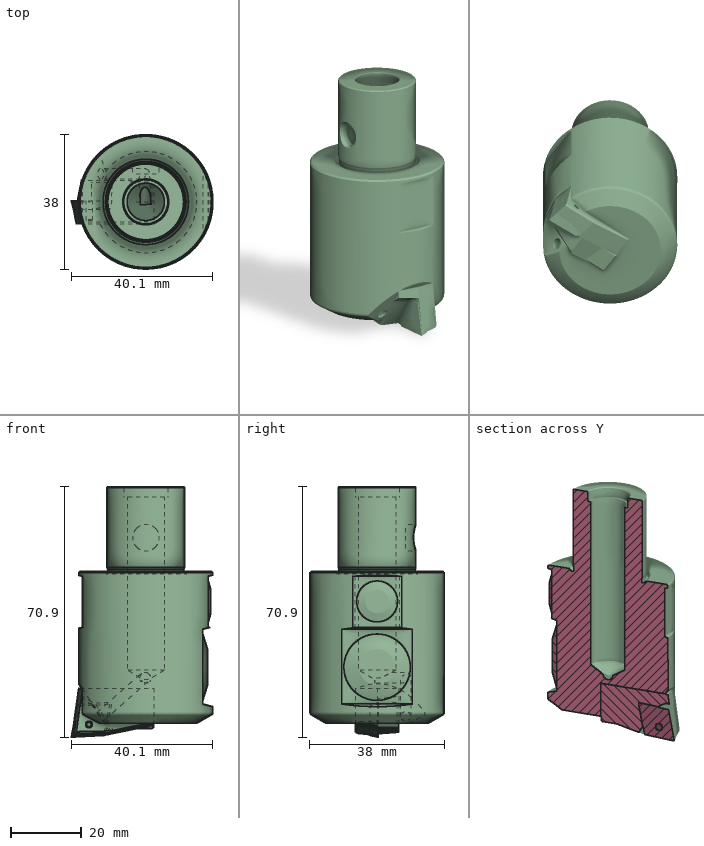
import cadquery as cq
import math


shank_radius = 11.0
shank_length = 24.0
shank_top_chamfer = 0.3
shank_wall_bottom = 1.1
neck_radius = 10.8
neck_top = 0.6
body_radius = 19.0
body_length = 43.0
shoulder_chamfer = 0.45
recess_top_radius = 12.1
recess_floor_radius = 11.4
recess_depth = recess_top_radius - recess_floor_radius
end_radius = 14.36
end_cone_angle = 30.0
end_cone_height = (body_radius - end_radius) * math.tan(math.radians(end_cone_angle))
end_edge_fillet = 1.0

counterbore_radius = 6.25
counterbore_depth = 2.9
bore_chamfer = 0.25
bore_radius = 5.3
drill_tip_angle = 118.0
bore_tip_height = bore_radius / math.tan(math.radians(drill_tip_angle / 2))
bore_tip_z = -31.0
spot_radius = 3.75
spot_z = 9.6
spot_depth = 3.0
coolant_radius = 1.5
coolant_start_y = -0.75
coolant_z = bore_tip_z + 1.0
coolant_corner_x = -0.5
coolant_exit_y = 8.0
coolant_exit_z = -40.9
coolant_overrun = 0.3

flat_wall_angle = 15.0
flat_top_z = -1.4
flat_bottom_z = -15.8
mark_flat_x = 17.93
cap_flat_x = 17.7
dial_flat_x = 16.15
dial_flat_top_z = -16.4
dial_flat_bottom_z = -37.5

relief_start_z = -31.7
relief_angle = 34.0
relief_slope = math.tan(math.radians(relief_angle))

dial_z = -27.1
dial_base_radius = 9.4
dial_top_radius = 5.1
dial_height = 1.33
cap_z = -8.5
cap_base_radius = 5.8
cap_top_radius = 3.35
cap_height = 0.7

cartridge_half_width = 6.13
cartridge_top_z = -33.1
cartridge_end_x = 2.2
cartridge_bottom_z = -44.5
cartridge_front_x = -17.95
cartridge_edge_chamfer = 0.45
nose_top_x = -18.98
nose_corner = (-20.85, -46.4)
nose_heel = (-11.0, -46.2)
nose_end_z = -43.5
floor_edge_chamfer = 0.6
side_clearance = 1.2
bottom_clearance = 0.65
gullet_rise = 0.75
gullet_lip_z = -36.0
gullet_root = (-15.4, -37.6)

insert_tip = (-21.06, -46.9)
insert_edge = 9.6
insert_bottom_angle = 3.0
insert_nose_angle = 76.0
insert_thickness = 2.4
insert_rake_y = 0.3
insert_clearance_angle = 12.0
tip_window_top_z = -45.4
screw_x = -16.07
screw_z = -43.3
screw_radius = 0.95
screw_recess = 1.0
screw_tip_chamfer = 0.25

cutter_margin = 1.0
pick_margin = 0.1
far = 2 * body_radius


def relief_x(z):
    """X of the chip relief plane at height z."""
    return -body_radius + (relief_start_z - z) * relief_slope


def cylinder_between(start, end, radius):
    axis = cq.Vector(*end) - cq.Vector(*start)
    return cq.Workplane(cq.Solid.makeCylinder(radius, axis.Length, cq.Vector(*start), axis))


def oblique_prism(points, shift):
    """Sweep an XZ outline from the plane Y = 0 along a slanted vector."""
    wire = cq.Wire.makePolygon([cq.Vector(x, 0, z) for x, z in points], close=True)
    return cq.Workplane(cq.Solid.extrudeLinear(wire, [], cq.Vector(*shift)))


def box_between(low, high):
    size = [b - a for a, b in zip(low, high)]
    return cq.Workplane("XY").box(*size, centered=False).translate(low)


def turned_blank():
    cone_top = -body_length + end_cone_height
    profile = (
        cq.Workplane("XZ")
        .moveTo(0, -body_length)
        .lineTo(end_radius, -body_length)
        .lineTo(body_radius, cone_top)
        .lineTo(body_radius, -shoulder_chamfer)
        .lineTo(body_radius - shoulder_chamfer, 0)
        .lineTo(recess_top_radius, 0)
        .lineTo(recess_floor_radius, -recess_depth)
        .lineTo(neck_radius, -recess_depth)
        .lineTo(neck_radius, neck_top)
        .lineTo(shank_radius, shank_wall_bottom)
        .lineTo(shank_radius, shank_length - shank_top_chamfer)
        .lineTo(shank_radius - shank_top_chamfer, shank_length)
        .lineTo(0, shank_length)
        .close()
    )
    blank = profile.revolve(360, (0, 0, 0), (0, 1, 0))
    end_edge = cq.selectors.BoxSelector(
        (-far, -far, cone_top - pick_margin), (far, far, cone_top + pick_margin), boundingbox=True
    )
    return blank.edges(end_edge).fillet(end_edge_fillet)


def stepped_bore():
    shelf_z = shank_length - counterbore_depth
    return (
        cq.Workplane("XZ")
        .moveTo(0, bore_tip_z)
        .lineTo(bore_radius, bore_tip_z + bore_tip_height)
        .lineTo(bore_radius, shelf_z)
        .lineTo(counterbore_radius, shelf_z)
        .lineTo(counterbore_radius, shank_length - bore_chamfer)
        .lineTo(counterbore_radius + bore_chamfer, shank_length)
        .lineTo(0, shank_length)
        .close()
        .revolve(360, (0, 0, 0), (0, 1, 0))
    )


def coolant_channel():
    corner = (coolant_corner_x, coolant_exit_y, coolant_z)
    exit_x = relief_x(coolant_exit_z)
    beyond = (
        exit_x + (exit_x - coolant_corner_x) * coolant_overrun,
        coolant_exit_y,
        coolant_exit_z + (coolant_exit_z - coolant_z) * coolant_overrun,
    )
    inlet = cylinder_between((0, coolant_start_y, coolant_z), corner, coolant_radius)
    outlet = cylinder_between(corner, beyond, coolant_radius)
    elbow = cq.Workplane("XY").sphere(coolant_radius).translate(corner)
    return inlet.union(outlet).union(elbow)


def side_flat(floor_x, top_z, bottom_z, side):
    """Cutter for a flat at X = side * floor_x whose end walls open outwards."""
    depth = body_radius + cutter_margin - floor_x
    spread = depth * math.tan(math.radians(flat_wall_angle))
    outer_x = floor_x + depth
    return (
        cq.Workplane("XZ")
        .polyline(
            [
                (side * floor_x, top_z),
                (side * outer_x, top_z + spread),
                (side * outer_x, bottom_z - spread),
                (side * floor_x, bottom_z),
            ]
        )
        .close()
        .extrude(body_radius, both=True)
    )


def chip_relief():
    low_z = -body_length - cutter_margin
    outline = [
        (-body_radius, relief_start_z),
        (relief_x(low_z), low_z),
        (-far, low_z),
        (-far, relief_start_z),
    ]
    cutter = oblique_prism(outline, (0, far, 0))
    return cutter.union(oblique_prism(outline, (0, -cartridge_half_width, 0)))


def cartridge_slot():
    return box_between(
        (-far, -cartridge_half_width, -far - body_length),
        (cartridge_end_x, cartridge_half_width, cartridge_top_z),
    )


def make_housing():
    spot = cylinder_between((0, shank_radius - spot_depth, spot_z), (0, far, spot_z), spot_radius)
    return (
        turned_blank()
        .cut(stepped_bore())
        .cut(spot)
        .cut(side_flat(mark_flat_x, flat_top_z, flat_bottom_z, -1))
        .cut(side_flat(cap_flat_x, flat_top_z, flat_bottom_z, 1))
        .cut(side_flat(dial_flat_x, dial_flat_top_z, dial_flat_bottom_z, 1))
        .cut(chip_relief())
        .cut(cartridge_slot())
        .cut(coolant_channel())
    )


def side_cone(base_x, z, base_radius, top_radius, height):
    cone = cq.Solid.makeCone(
        base_radius, top_radius, height, cq.Vector(base_x, 0, z), cq.Vector(1, 0, 0)
    )
    return cq.Workplane(cone)


def make_insert():
    """Rhombic insert, widest at its rake face and tapering towards -Y."""
    bottom = math.radians(insert_bottom_angle)
    side = math.radians(insert_bottom_angle + insert_nose_angle)
    along = (insert_edge * math.cos(bottom), insert_edge * math.sin(bottom))
    up = (insert_edge * math.cos(side), insert_edge * math.sin(side))
    tip_x, tip_z = insert_tip
    return (
        cq.Workplane("XZ", origin=(0, insert_rake_y, 0))
        .polyline(
            [
                (tip_x, tip_z),
                (tip_x + along[0], tip_z + along[1]),
                (tip_x + along[0] + up[0], tip_z + along[1] + up[1]),
                (tip_x + up[0], tip_z + up[1]),
            ]
        )
        .close()
        .extrude(insert_thickness, taper=insert_clearance_angle)
    )


def make_screw():
    body = cylinder_between(
        (screw_x, insert_rake_y, screw_z),
        (screw_x, screw_recess - cartridge_half_width, screw_z),
        screw_radius,
    )
    return body.faces("<Y").chamfer(screw_tip_chamfer)


def make_cartridge(insert):
    width = cartridge_half_width
    slide = box_between(
        (cartridge_front_x, 0, cartridge_bottom_z), (cartridge_end_x, width, cartridge_top_z)
    )
    slide = slide.edges("|X and >Y and <Z").chamfer(cartridge_edge_chamfer)
    slide = slide.edges("|Y and >X and <Z").chamfer(cartridge_edge_chamfer)

    above_z = cartridge_top_z + cutter_margin
    lean = (nose_corner[0] - nose_top_x) / (nose_corner[1] - cartridge_top_z)
    nose_outline = [
        (nose_top_x + lean * (above_z - cartridge_top_z), above_z),
        nose_corner,
        nose_heel,
        (cartridge_end_x, nose_end_z),
        (cartridge_end_x, above_z),
    ]
    flank = oblique_prism(nose_outline, (side_clearance, -width, bottom_clearance))
    lower_edges = flank.faces("<Y").edges().filter(lambda edge: edge.Center().z < nose_end_z)
    flank = lower_edges.chamfer(cartridge_edge_chamfer)
    back = oblique_prism(nose_outline, (side_clearance, width, bottom_clearance))
    nose = flank.union(back).intersect(cartridge_slot())

    floor_end_z = -body_length - body_radius
    floor_end_x = gullet_root[0] + (gullet_root[1] - floor_end_z) * relief_slope
    gullet = oblique_prism(
        [
            (-far, gullet_lip_z),
            (cartridge_front_x, gullet_lip_z),
            gullet_root,
            (floor_end_x, floor_end_z),
            (-far, floor_end_z),
        ],
        (0, width, gullet_rise),
    )
    tip_window = box_between(
        (-far, insert_rake_y - insert_thickness, -far - body_length),
        (insert_tip[0] + insert_edge / 2, insert_rake_y, tip_window_top_z),
    )
    screw_hole = cylinder_between((screw_x, width, screw_z), (screw_x, -width, screw_z), screw_radius)
    body = slide.union(nose).cut(gullet)
    floor_middle_z = (gullet_root[1] + nose_corner[1]) / 2
    floor_middle_x = gullet_root[0] + (gullet_root[1] - floor_middle_z) * relief_slope
    floor_edge = cq.selectors.NearestToPointSelector((floor_middle_x, width, floor_middle_z))
    body = body.edges(floor_edge).chamfer(floor_edge_chamfer)
    return body.cut(insert).cut(tip_window).cut(screw_hole)


housing = make_housing()
dial = side_cone(dial_flat_x, dial_z, dial_base_radius, dial_top_radius, dial_height)
lock_cap = side_cone(cap_flat_x, cap_z, cap_base_radius, cap_top_radius, cap_height)
insert_blank = make_insert()
screw = make_screw()
insert = insert_blank.cut(screw)
cartridge = make_cartridge(insert_blank)

result = cq.Compound.makeCompound(
    [housing.val(), dial.val(), lock_cap.val(), cartridge.val(), insert.val(), screw.val()]
)